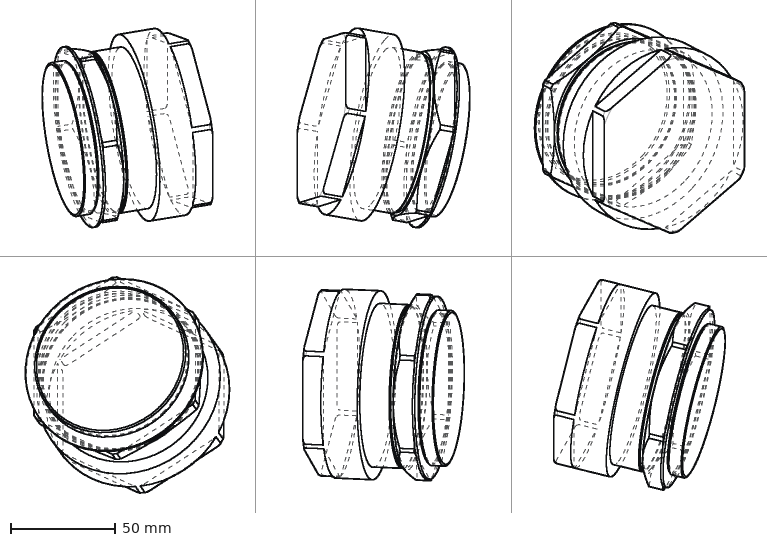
import cadquery as cq
import math

outer_diameter = 91.0
across_flats = 80.0
across_corners = across_flats / math.cos(math.radians(30))

cap_diameter = 74.9
neck_diameter = 73.0
flange_diameter = 88.0
groove_diameter = 77.0
body_diameter = 78.8

cap_end = 6.6
neck_end = 7.55
flange_end = 8.7
nut_end = 19.0
groove_end = 20.6
collar_start = 35.5
collar_end = 53.3
total_length = 63.4

cap_chamfer_radial = (cap_diameter - neck_diameter) / 2
cap_chamfer_axial = 0.5
body_chamfer = 0.55
nut_chamfer_angle = 30.0
head_fillet = 1.55


def disc(diameter, start, end):
    """Cylinder about the Y axis between two distances from the front face."""
    return cq.Workplane("XZ", origin=(0, start, 0)).circle(diameter / 2).extrude(start - end)


def hexagon(start, end):
    """Hexagonal prism about the Y axis, with corners pointing along +Z and -Z."""
    return (
        cq.Workplane("XZ", origin=(0, start, 0))
        .transformed(rotate=(0, 0, 90))
        .polygon(6, across_corners)
        .extrude(start - end)
    )


def make_cap():
    front_edge = disc(cap_diameter, 0, cap_end).faces("<Y").edges()
    return front_edge.chamfer(cap_chamfer_axial, cap_chamfer_radial)


def make_nut():
    """Hexagon with turned corners and a cone that meets the rear face at the inscribed circle."""
    outer_radius = outer_diameter / 2
    rear_radius = across_flats / 2
    cone_length = (outer_radius - rear_radius) * math.tan(math.radians(nut_chamfer_angle))
    envelope = (
        cq.Workplane("XY")
        .moveTo(0, flange_end)
        .lineTo(outer_radius, flange_end)
        .lineTo(outer_radius, nut_end - cone_length)
        .lineTo(rear_radius, nut_end)
        .lineTo(0, nut_end)
        .close()
        .revolve(360, (0, 0, 0), (0, 1, 0))
    )
    return hexagon(flange_end, nut_end).intersect(envelope)


def make_body():
    front_edge = disc(body_diameter, groove_end, collar_start).faces("<Y").edges()
    return front_edge.chamfer(body_chamfer)


def make_head():
    """Rear hexagon whose corners are turned to the collar diameter and rounded at the end."""
    envelope = disc(outer_diameter, collar_end, total_length).faces(">Y").edges().fillet(head_fillet)
    return hexagon(collar_end, total_length).intersect(envelope)


result = (
    make_cap()
    .union(disc(neck_diameter, cap_end, neck_end))
    .union(disc(flange_diameter, neck_end, flange_end))
    .union(make_nut())
    .union(disc(groove_diameter, nut_end, groove_end))
    .union(make_body())
    .union(disc(outer_diameter, collar_start, collar_end))
    .union(make_head())
)